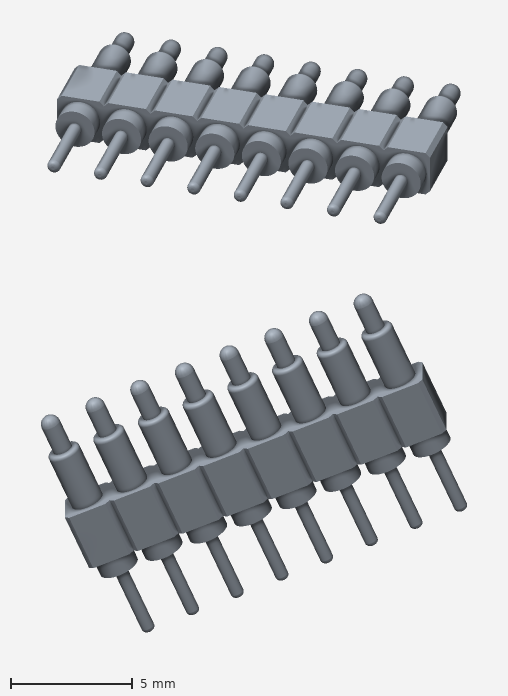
import cadquery as cq

row_length = 16.0
contact_count = 8
pitch = row_length / contact_count
overall_length = 10.69

block_length = 2.51
block_bevel = 0.2

tail_diameter = 0.56
tail_length = 3.18
tail_rounding = 0.2
collar_diameter = 1.68
collar_length = 0.8
barrel_diameter = 1.38
barrel_length = 2.55
barrel_rounding = 0.16
plunger_diameter = 0.82
plunger_rounding = 0.4

tail_end = -overall_length / 2
collar_start = tail_end + tail_length
block_start = collar_start + collar_length
block_end = block_start + block_length
barrel_end = block_end + barrel_length
plunger_end = overall_length / 2


def section_at(start):
    """Workplane across the contact axis at a station; negative extrusions run toward +Y."""
    return cq.Workplane("XZ", origin=(0, start, 0))


def rod(diameter, start, end):
    """Round bar on the contact axis between two stations."""
    return section_at(start).circle(diameter / 2).extrude(start - end)


def make_block():
    """Square block with its four long edges bevelled."""
    block = section_at(block_start).rect(pitch, pitch).extrude(block_start - block_end)
    return block.edges("|Y").chamfer(block_bevel)


def make_tail():
    """Thin solder tail with a rounded tip at -Y."""
    return rod(tail_diameter, tail_end, collar_start).edges("<Y").fillet(tail_rounding)


def make_collar():
    """Short wide collar between the tail and the block."""
    return rod(collar_diameter, collar_start, block_start)


def make_barrel():
    """Barrel on the +Y side of the block, with a rounded shoulder."""
    return rod(barrel_diameter, block_end, barrel_end).edges(">Y").fillet(barrel_rounding)


def make_plunger():
    """Plunger with a nearly hemispherical tip at +Y."""
    return rod(plunger_diameter, barrel_end, plunger_end).edges(">Y").fillet(plunger_rounding)


def make_contact():
    """One contact with its block, as a single solid centred on the Y axis."""
    contact = make_block()
    for section in (make_collar(), make_tail(), make_barrel(), make_plunger()):
        contact = contact.union(section)
    return contact.solids().val()


contact = make_contact()
first_x = (pitch - row_length) / 2
contacts = []
for index in range(contact_count):
    contacts.append(contact.translate(cq.Vector(first_x + index * pitch, 0, 0)))

result = cq.Compound.makeCompound(contacts)